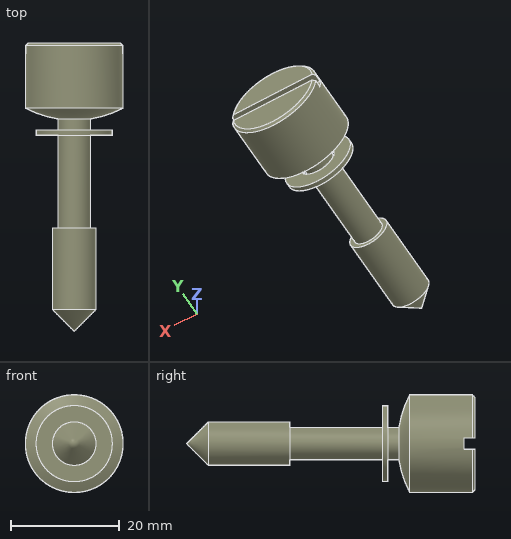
import cadquery as cq
import math


head_radius = 9.0
head_straight_length = 12.0
head_rim_chamfer = 0.5
dome_height = 2.0

slot_width = 2.0
slot_depth = 2.0

shank_radius = 3.0
shank_length = 20.0
thread_radius = 4.0
thread_length = 15.0
tip_length = thread_radius

washer_radius = 7.0
washer_hole_radius = 3.5
washer_thickness = 1.0
washer_gap = 2.0

dome_start_y = -head_straight_length
head_end_y = dome_start_y - dome_height
thread_start_y = head_end_y - shank_length
thread_end_y = thread_start_y - thread_length
tip_y = thread_end_y - tip_length
washer_face_y = head_end_y - washer_gap

centre_to_dome_start = (head_radius**2 - shank_radius**2 - dome_height**2) / (2 * dome_height)
dome_sphere_radius = math.hypot(head_radius, centre_to_dome_start)
dome_centre_y = dome_start_y + centre_to_dome_start
dome_mid_radius = (head_radius + shank_radius) / 2
dome_mid_y = dome_centre_y - math.sqrt(dome_sphere_radius**2 - dome_mid_radius**2)


def make_screw():
    """Turned captive screw: half profile revolved about Y, then slotted across the head."""
    body = (
        cq.Workplane("XY")
        .lineTo(head_radius - head_rim_chamfer, 0)
        .lineTo(head_radius, -head_rim_chamfer)
        .lineTo(head_radius, dome_start_y)
        .threePointArc((dome_mid_radius, dome_mid_y), (shank_radius, head_end_y))
        .lineTo(shank_radius, thread_start_y)
        .lineTo(thread_radius, thread_start_y)
        .lineTo(thread_radius, thread_end_y)
        .lineTo(0, tip_y)
        .close()
        .revolve(360, (0, 0, 0), (0, 1, 0))
    )
    slot = cq.Workplane("XY").box(2 * head_radius, 2 * slot_depth, slot_width)
    return body.cut(slot).solids()


def make_washer():
    """Flat washer that clears the shank all round."""
    return (
        cq.Workplane("XZ", origin=(0, washer_face_y, 0))
        .circle(washer_radius)
        .circle(washer_hole_radius)
        .extrude(washer_thickness)
    )


screw = make_screw()
washer = make_washer()

result = cq.Compound.makeCompound([screw.val(), washer.val()])